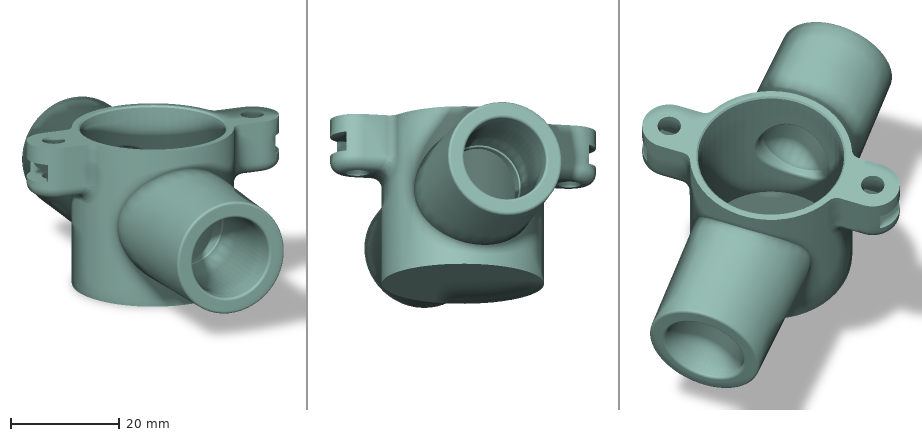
import cadquery as cq
import math

CUP_HEIGHT = 30.0
CUP_RADIUS = 15.0
CUP_BORE_RADIUS = 13.5
CUP_FLOOR = 1.5
CUP_RIM_CHAMFER = 0.3
TOP_Z = CUP_HEIGHT / 2
FLOOR_Z = CUP_FLOOR - TOP_Z

SPIGOT_REACH = 36.0
SPIGOT_END_RADIUS = 10.75
SPIGOT_TAPER = 1.5
SPIGOT_EDGE_FILLET = 0.5
MOUTH_BORE_RADIUS = 15.47 / 2
INNER_BORE_RADIUS = 14.47 / 2
INNER_BORE_END = 15.0
STOP_ROUND = 0.3
BORE_JUNCTION_FILLET = 0.5
MOUTH_BORE_START = 21.0

LUG_RADIUS = 5.0
LUG_HOLE_Y = 20.0
LUG_HOLE_DIAMETER = 4.3
LUG_THICKNESS = 10.0
LUG_FILLET = 2.0

SLOT_WIDTH = 7.2
SLOT_HEIGHT = 3.6
SLOT_TOP_DEPTH = 3.25
SLOT_BACK_Y = 16.0
SLOT_MOUTH_WIDTH = 8.1


def make_lug():
    """Screw lug pointing toward +Y, starting at the cup axis."""
    return (
        cq.Workplane("XY", origin=(0, 0, TOP_Z - LUG_THICKNESS))
        .moveTo(-LUG_RADIUS, 0)
        .lineTo(-LUG_RADIUS, LUG_HOLE_Y)
        .threePointArc((0, LUG_HOLE_Y + LUG_RADIUS), (LUG_RADIUS, LUG_HOLE_Y))
        .lineTo(LUG_RADIUS, 0)
        .close()
        .extrude(LUG_THICKNESS)
        .faces("<Z")
        .edges("not <Y")
        .fillet(LUG_FILLET)
    )


def make_cup_with_lugs():
    """Solid cup body and both lugs, with the lug roots blended into the cup."""
    cup = cq.Workplane("XY", origin=(0, 0, -TOP_Z)).circle(CUP_RADIUS).extrude(CUP_HEIGHT)
    lug = make_lug()
    body = cup.union(lug).union(lug.mirror("XZ"))
    root_half_width = LUG_RADIUS + LUG_FILLET / 2
    root_inner_y = CUP_RADIUS - LUG_FILLET
    root_outer_y = CUP_RADIUS + LUG_FILLET / 4
    root_bottom_z = TOP_Z - LUG_THICKNESS - LUG_FILLET / 2
    for low_y, high_y in ((root_inner_y, root_outer_y), (-root_outer_y, -root_inner_y)):
        root_box = cq.selectors.BoxSelector(
            (-root_half_width, low_y, root_bottom_z), (root_half_width, high_y, TOP_Z - LUG_FILLET)
        )
        body = body.edges(root_box).fillet(LUG_FILLET)
    return body


def make_spigot():
    """Solid tapered spigot along +X, from the cup axis to its end face."""
    root_radius = SPIGOT_END_RADIUS + SPIGOT_REACH * math.tan(math.radians(SPIGOT_TAPER))
    return (
        cq.Workplane("XY")
        .polyline([(0, 0), (SPIGOT_REACH, 0), (SPIGOT_REACH, SPIGOT_END_RADIUS), (0, root_radius)])
        .close()
        .revolve(360, (0, 0), (1, 0))
        .faces(">X")
        .edges()
        .fillet(SPIGOT_EDGE_FILLET)
    )


def make_spigot_bore():
    """Bore along +X, from the cup axis out through a rounded mouth."""
    fillet_start = SPIGOT_REACH - SPIGOT_EDGE_FILLET
    flare_radius = MOUTH_BORE_RADIUS + SPIGOT_EDGE_FILLET
    fillet_mid_offset = SPIGOT_EDGE_FILLET * math.sqrt(0.5)
    stop_mid_offset = STOP_ROUND * math.sqrt(0.5)
    stop_end = INNER_BORE_END + STOP_ROUND
    stop_radius = INNER_BORE_RADIUS + STOP_ROUND
    return (
        cq.Workplane("XY")
        .moveTo(0, 0)
        .lineTo(0, INNER_BORE_RADIUS)
        .lineTo(INNER_BORE_END, INNER_BORE_RADIUS)
        .threePointArc(
            (INNER_BORE_END + stop_mid_offset, stop_radius - stop_mid_offset),
            (stop_end, stop_radius),
        )
        .lineTo(MOUTH_BORE_START, MOUTH_BORE_RADIUS)
        .lineTo(fillet_start, MOUTH_BORE_RADIUS)
        .threePointArc(
            (fillet_start + fillet_mid_offset, flare_radius - fillet_mid_offset),
            (SPIGOT_REACH, flare_radius),
        )
        .lineTo(SPIGOT_REACH, 0)
        .close()
        .revolve(360, (0, 0), (1, 0))
    )


def make_cup_bore():
    """Bore of the cup above its floor, with a chamfered rim."""
    return (
        cq.Workplane("XZ")
        .polyline([
            (0, FLOOR_Z),
            (CUP_BORE_RADIUS, FLOOR_Z),
            (CUP_BORE_RADIUS, TOP_Z - CUP_RIM_CHAMFER),
            (CUP_BORE_RADIUS + CUP_RIM_CHAMFER, TOP_Z),
            (0, TOP_Z),
        ])
        .close()
        .revolve(360, (0, 0), (0, 1))
    )


def make_void():
    """Cup bore joined to both spigot bores, blended where they meet."""
    spigot_bore = make_spigot_bore()
    void = make_cup_bore().union(spigot_bore).union(spigot_bore.mirror("YZ"))
    junctions = cq.selectors.BoxSelector(
        (-CUP_BORE_RADIUS, -INNER_BORE_RADIUS, -INNER_BORE_RADIUS),
        (CUP_BORE_RADIUS, INNER_BORE_RADIUS, INNER_BORE_RADIUS),
    )
    return void.edges(junctions).fillet(BORE_JUNCTION_FILLET)


def make_lug_cut():
    """Screw hole and nut slot of the lug on the +Y side."""
    hole = (
        cq.Workplane("XY", origin=(0, LUG_HOLE_Y, TOP_Z - LUG_THICKNESS))
        .circle(LUG_HOLE_DIAMETER / 2)
        .extrude(LUG_THICKNESS)
    )
    half_width = SLOT_WIDTH / 2
    half_mouth = SLOT_MOUTH_WIDTH / 2
    mouth_y = LUG_HOLE_Y + math.sqrt(LUG_RADIUS**2 - half_mouth**2)
    flare_start_y = mouth_y - (half_mouth - half_width)
    outer_y = LUG_HOLE_Y + LUG_RADIUS
    slot = (
        cq.Workplane("XY", origin=(0, 0, TOP_Z - SLOT_TOP_DEPTH - SLOT_HEIGHT))
        .polyline([
            (-half_width, SLOT_BACK_Y),
            (half_width, SLOT_BACK_Y),
            (half_width, flare_start_y),
            (half_mouth, mouth_y),
            (half_mouth, outer_y),
            (-half_mouth, outer_y),
            (-half_mouth, mouth_y),
            (-half_width, flare_start_y),
        ])
        .close()
        .extrude(SLOT_HEIGHT)
    )
    return hole.union(slot)


spigot = make_spigot()
void = make_void()
lug_cut = make_lug_cut()

result = make_cup_with_lugs().union(spigot).union(spigot.mirror("YZ"))
result = result.cut(void)
result = result.cut(lug_cut).cut(lug_cut.mirror("XZ"))